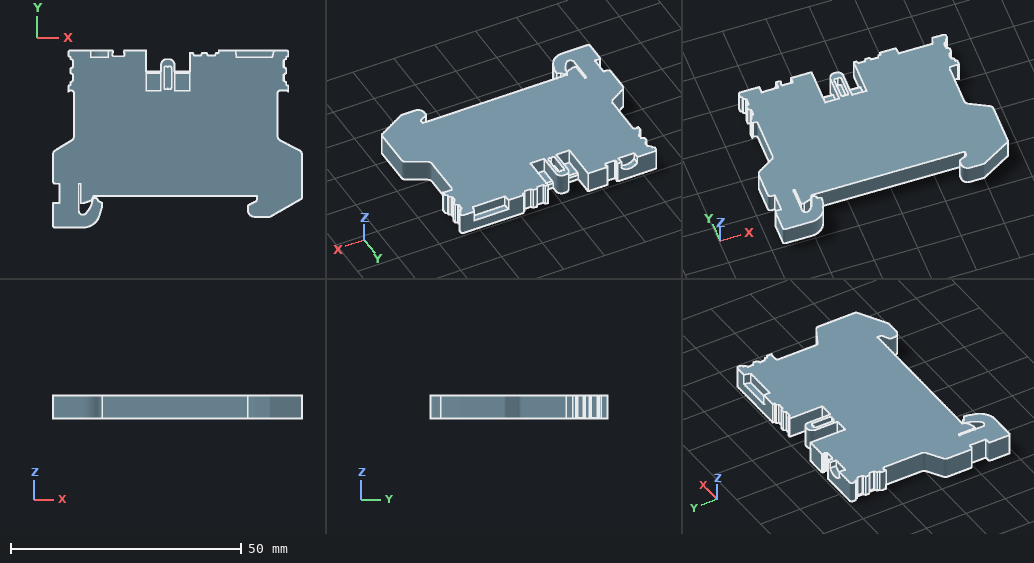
import cadquery as cq
import math

length = 54.1
height = 38.5
thickness = 5.1

neck_left = 4.55
neck_right = 48.8
shoulder_low = 16.5
shoulder_high = 19.25
shoulder_round = 1.1
edge_round = 0.2

head_left = 3.35
head_right = 51.1
head_underside = 29.75
lip_drop = 0.2
lip_width = 0.3
head_round = 0.5
tooth_round = 0.3
tooth_step = 0.45
recess_depth = 0.9
recess_spans = [(34.85, 36.35), (31.85, 33.25)]
tooth_slope = 0.3
upper_tooth = 37.1
lower_tooth = 30.95
pad_extra_depth = 0.19
pad_floor = 0.2
pad_inset = 0.1

notch_center = 14.25
notch_depth = 1.25
notch_lip_half = 1.15
notch_half = 1.3
notch_lip_y = 38.2
notch_groove_y = 37.7
notch_bevel = 0.15

gap_left = 20.25
gap_right = 29.75
gap_floor = 29.7
ledge_top = 33.9
ledge_height = 1.6
ledge_chamfer = 0.4
tongue_center = 24.95
tongue_width = 3.0
tongue_top = 36.6
tongue_round = 1.3
groove_bottom = 30.0
groove_top = 35.05
groove_width = 0.85
groove_spacing = 0.75
groove_depth = 2.55

lowered_top = 38.0
lowered_right = 36.0
small_notch_depth = 0.55
small_notch_slope = 0.25
small_notches = [(30.4, 32.4), (33.4, 35.45)]

pocket_reach = 1.5
pocket_depth = 2.55
round_pocket_center = 10.1
round_pocket_width = 3.85
round_pocket_radius = 2.4
label_pocket_left = 39.65
label_pocket_right = 48.05
label_taper_left = 0.15
label_taper_right = 0.45

seat_y = 6.85
seat_left = 8.85
seat_right = 44.25
claw_bottom = 2.3
claw_left = 42.3
claw_bottom_right = 47.1
claw_right_y = 6.35
claw_edge_round = 0.45
claw_round = 1.5
claw_tip_y = 4.85
claw_throat_y = 5.85
claw_throat_round = 0.45
side_notch_bottom = 5.4
side_notch_top = 9.5
side_notch_depth = 1.4
side_notch_round = 0.65
spring_slot_left = 5.6
spring_slot_right = 6.0
wedge_bottom = 5.3
wedge_flat_end = 6.65
wedge_tip_x = 8.4
wedge_tip_y = 5.9

hook_heel = (6.45, 0)
hook_outer_middle = (8.55, 0.6)
hook_outer_end = (10.0, 2.25)
hook_flank_top = (10.7, 4.55)
hook_shoulder = (hook_flank_top[0], 5.4)
hook_nose_foot = (9.9, 5.8)
hook_nose_right = (9.7, 6.15)
hook_nose_top = (9.25, 6.5)
hook_nose_left = (8.6, 6.05)
hook_inner_middle = (8.05, 4.4)
hook_inner_end = (7.05, 3.05)
hook_slot_bottom = (6.3, 2.85)
hook_slot_end_y = 3.55


def rounded_outline(corners):
    """Closed wire through corners (x, y) or (x, y, radius), with tangent arcs of that radius."""
    stretches = []
    for i, corner in enumerate(corners):
        x, y = corner[:2]
        if len(corner) == 2:
            stretches.append([(x, y)])
            continue
        radius = corner[2]
        before = cq.Vector(*corners[i - 1][:2])
        after = cq.Vector(*corners[(i + 1) % len(corners)][:2])
        apex = cq.Vector(x, y)
        to_before = (before - apex).normalized()
        to_after = (after - apex).normalized()
        half_angle = to_before.getAngle(to_after) / 2
        tangent = radius / math.tan(half_angle)
        bisector = (to_before + to_after).normalized()
        middle = apex + bisector * (radius / math.sin(half_angle) - radius)
        arc = [apex + to_before * tangent, middle, apex + to_after * tangent]
        stretches.append([point.toTuple()[:2] for point in arc])
    sketch = cq.Workplane("XY").moveTo(*stretches[0][-1])
    for stretch in stretches[1:] + stretches[:1]:
        sketch = sketch.lineTo(*stretch[0])
        if len(stretch) > 1:
            sketch = sketch.threePointArc(*stretch[1:])
    return sketch.close()


def head_side(edge_x, inward, neck_x):
    """Corners of one toothed head side from the neck up; inward is +1 on the left, -1 on the right."""
    tip = edge_x
    step = edge_x + inward * tooth_step
    floor = edge_x + inward * recess_depth
    corners = [
        (neck_x, head_underside, head_round),
        (edge_x + inward * lip_width, head_underside),
        (tip, head_underside - lip_drop),
        (tip, lower_tooth, tooth_round),
        (step, lower_tooth),
    ]
    for low, high in reversed(recess_spans):
        corners += [
            (step, low - tooth_slope),
            (floor, low),
            (floor, high),
            (step, high + tooth_slope),
        ]
    corners += [(step, upper_tooth), (tip, upper_tooth, tooth_round), (tip, height, head_round)]
    return corners


def dovetail_notch():
    bottom = height - notch_depth
    lip = notch_center - notch_lip_half
    groove = notch_center - notch_half
    left = [
        (lip - notch_bevel, height),
        (lip, height - notch_bevel),
        (lip, notch_lip_y - notch_bevel),
        (groove, notch_groove_y + notch_bevel),
        (groove, notch_groove_y - notch_bevel),
        (lip, bottom),
    ]
    right = [(2 * notch_center - x, y) for x, y in reversed(left)]
    return left + right


def lowered_edge():
    bottom = lowered_top - small_notch_depth
    corners = [(gap_right, lowered_top)]
    for left, right in small_notches:
        corners += [
            (left, lowered_top),
            (left + small_notch_slope, bottom),
            (right - small_notch_slope, bottom),
            (right, lowered_top),
        ]
    return corners + [(lowered_right, lowered_top), (lowered_right, height)]


def plate():
    left_foot = [
        (spring_slot_left, 0),
        (0, 0, head_round),
        (0, side_notch_bottom, edge_round),
        (side_notch_depth, side_notch_bottom),
        (side_notch_depth, side_notch_top),
        (0, side_notch_top, side_notch_round),
        (0, shoulder_low, shoulder_round),
        (neck_left, shoulder_high, shoulder_round),
    ]
    gap = [
        (gap_left, height),
        (gap_left, gap_floor),
        (gap_right, gap_floor),
    ]
    right_foot = [
        (neck_right, shoulder_high, shoulder_round),
        (length, shoulder_low, shoulder_round),
        (length, claw_right_y, claw_edge_round),
        (claw_bottom_right, claw_bottom, claw_edge_round),
        (claw_left, claw_bottom, claw_round),
        (claw_left, claw_tip_y, claw_throat_round),
        (seat_right, claw_throat_y, claw_throat_round),
        (seat_right, seat_y),
    ]
    spring_slot = [
        (seat_left, seat_y),
        (wedge_tip_x, wedge_tip_y),
        (wedge_flat_end, wedge_bottom),
        (spring_slot_right, wedge_bottom),
        (spring_slot_right, side_notch_top),
        (spring_slot_left, side_notch_top),
    ]
    corners = left_foot + head_side(head_left, 1, neck_left) + dovetail_notch() + gap + lowered_edge()
    corners += head_side(head_right, -1, neck_right)[::-1] + right_foot + spring_slot
    return rounded_outline(corners).extrude(thickness)


def spring_hook():
    """Curved finger that rises from the lower edge and ends in a rounded nose beside the wedge."""
    return (
        cq.Workplane("XY")
        .moveTo(spring_slot_left, 0)
        .lineTo(*hook_heel)
        .threePointArc(hook_outer_middle, hook_outer_end)
        .lineTo(*hook_flank_top)
        .lineTo(*hook_shoulder)
        .lineTo(*hook_nose_foot)
        .lineTo(*hook_nose_right)
        .threePointArc(hook_nose_top, hook_nose_left)
        .threePointArc(hook_inner_middle, hook_inner_end)
        .threePointArc(hook_slot_bottom, (spring_slot_left, hook_slot_end_y))
        .close()
        .extrude(thickness)
    )


def ledge():
    profile = [
        (gap_floor, 0),
        (ledge_top, 0),
        (ledge_top, ledge_height - ledge_chamfer),
        (ledge_top - ledge_chamfer, ledge_height),
        (gap_floor, ledge_height),
    ]
    return cq.Workplane("YZ", origin=(gap_left, 0, 0)).polyline(profile).close().extrude(gap_right - gap_left)


def tongue():
    left = tongue_center - tongue_width / 2
    right = tongue_center + tongue_width / 2
    corners = [
        (left, gap_floor),
        (right, gap_floor),
        (right, tongue_top, tongue_round),
        (left, tongue_top, tongue_round),
    ]
    return rounded_outline(corners).extrude(thickness)


def tongue_groove():
    """Two overlapping round-ended slots side by side."""
    return (
        cq.Workplane("XY", origin=(tongue_center, (groove_bottom + groove_top) / 2, thickness))
        .pushPoints([(-groove_spacing / 2, 0), (groove_spacing / 2, 0)])
        .slot2D(groove_top - groove_bottom, groove_width, 90)
        .extrude(-groove_depth)
    )


def round_pocket():
    """Upright side walls above a floor that is a hollow arc."""
    half_width = round_pocket_width / 2
    arc_rise = round_pocket_radius - math.sqrt(round_pocket_radius**2 - half_width**2)
    wall_foot = arc_rise - pocket_depth
    return (
        cq.Workplane("XZ", origin=(round_pocket_center, height, thickness))
        .moveTo(-half_width, 0)
        .lineTo(-half_width, wall_foot)
        .threePointArc((0, -pocket_depth), (half_width, wall_foot))
        .lineTo(half_width, 0)
        .close()
        .extrude(pocket_reach)
    )


def label_pocket():
    floor_y = height - pocket_reach
    corners = [
        (label_pocket_left, height),
        (label_pocket_left + label_taper_left, floor_y),
        (label_pocket_right - label_taper_right, floor_y),
        (label_pocket_right, height),
    ]
    return cq.Workplane("XY", origin=(0, 0, thickness)).polyline(corners).close().extrude(-pocket_depth)


def side_pads():
    """Shallow deepening of each tooth recess that stops above the lower face."""
    pads = cq.Workplane("XY")
    for low, high in recess_spans:
        for floor in (head_left + recess_depth, head_right - recess_depth):
            pads = pads.union(
                cq.Workplane("XY", origin=(floor, (low + high) / 2, pad_floor))
                .rect(2 * pad_extra_depth, high - low - 2 * pad_inset)
                .extrude(thickness - pad_floor)
            )
    return pads


result = plate().union(spring_hook()).union(ledge()).union(tongue())
for cutter in (tongue_groove(), round_pocket(), label_pocket(), side_pads()):
    result = result.cut(cutter)